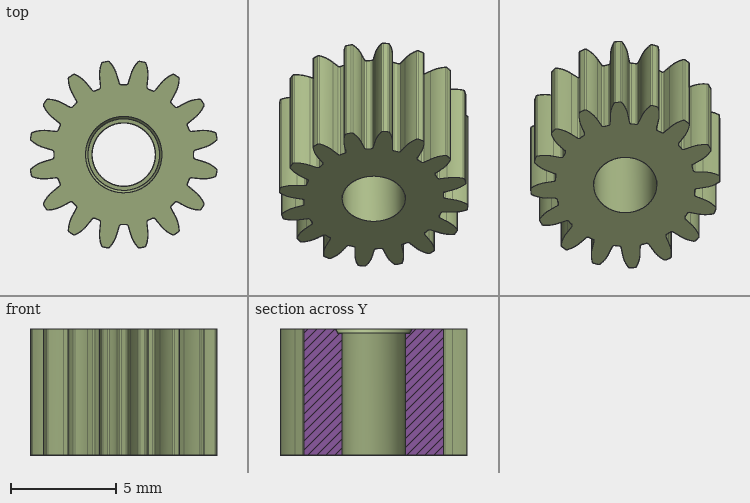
import cadquery as cq
import math

TOOTH_COUNT = 16
MODULE = 0.5
FACE_WIDTH = 6.0
PITCH_RADIUS = MODULE * TOOTH_COUNT / 2
TIP_RADIUS = PITCH_RADIUS + MODULE
ROOT_RADIUS = 3.325
TOOTH_PITCH = 2 * math.pi / TOOTH_COUNT

FLANK_START_RADIUS = 3.75
HALF_WIDTH_AT_ROOT = 0.465
HALF_WIDTH_AT_FLANK_START = 0.423
HALF_WIDTH_AT_PITCH = 0.388
HALF_WIDTH_AT_TIP = 0.168
TIP_FILLET = 0.1
ROOT_FILLET = 0.1

BORE_RADIUS = 1.5
RECESS_FLOOR_RADIUS = 1.7
RECESS_DEPTH = 0.2
RECESS_TAPER = math.radians(30)
RECESS_MOUTH_RADIUS = RECESS_FLOOR_RADIUS + RECESS_DEPTH * math.tan(RECESS_TAPER)


def flank_point(radius, half_width, tooth_angle, side):
    """Point on a tooth flank; side is -1 for the clockwise flank, +1 for the other."""
    angle = tooth_angle + side * math.asin(half_width / radius)
    return (radius * math.cos(angle), radius * math.sin(angle))


def polar_point(radius, angle):
    """Point at the given radius and angle about the gear axis."""
    return (radius * math.cos(angle), radius * math.sin(angle))


def make_gear_blank():
    """Toothed body, with a tooth gap centred on the X axis."""
    tooth_angles = [(i + 0.5) * TOOTH_PITCH for i in range(TOOTH_COUNT)]
    outline = cq.Workplane("XY").moveTo(
        *flank_point(ROOT_RADIUS, HALF_WIDTH_AT_ROOT, tooth_angles[0], -1)
    )
    for angle in tooth_angles:
        next_angle = angle + TOOTH_PITCH
        outline = (
            outline
            .lineTo(*flank_point(FLANK_START_RADIUS, HALF_WIDTH_AT_FLANK_START, angle, -1))
            .threePointArc(
                flank_point(PITCH_RADIUS, HALF_WIDTH_AT_PITCH, angle, -1),
                flank_point(TIP_RADIUS, HALF_WIDTH_AT_TIP, angle, -1),
            )
            .threePointArc(
                polar_point(TIP_RADIUS, angle),
                flank_point(TIP_RADIUS, HALF_WIDTH_AT_TIP, angle, 1),
            )
            .threePointArc(
                flank_point(PITCH_RADIUS, HALF_WIDTH_AT_PITCH, angle, 1),
                flank_point(FLANK_START_RADIUS, HALF_WIDTH_AT_FLANK_START, angle, 1),
            )
            .lineTo(*flank_point(ROOT_RADIUS, HALF_WIDTH_AT_ROOT, angle, 1))
            .threePointArc(
                polar_point(ROOT_RADIUS, angle + TOOTH_PITCH / 2),
                flank_point(ROOT_RADIUS, HALF_WIDTH_AT_ROOT, next_angle, -1),
            )
        )
    return outline.close().extrude(FACE_WIDTH)


def edges_on_radius(body, radius):
    """Tooth edges parallel to Z at the given distance from the axis."""
    tolerance = 0.001
    return body.edges("|Z").filter(
        lambda edge: abs(math.hypot(edge.Center().x, edge.Center().y) - radius) < tolerance
    )


def round_teeth(body):
    """Round the tip corners and the root corners of every tooth."""
    body = edges_on_radius(body, TIP_RADIUS).fillet(TIP_FILLET)
    return edges_on_radius(body, ROOT_RADIUS).fillet(ROOT_FILLET)


def make_bore():
    """Through bore and its tapered recess, as one revolved cutter."""
    recess_floor = FACE_WIDTH - RECESS_DEPTH
    return (
        cq.Workplane("XZ")
        .polyline([
            (0, 0),
            (BORE_RADIUS, 0),
            (BORE_RADIUS, recess_floor),
            (RECESS_FLOOR_RADIUS, recess_floor),
            (RECESS_MOUTH_RADIUS, FACE_WIDTH),
            (0, FACE_WIDTH),
        ])
        .close()
        .revolve(360, (0, 0), (0, 1))
    )


result = round_teeth(make_gear_blank()).cut(make_bore())